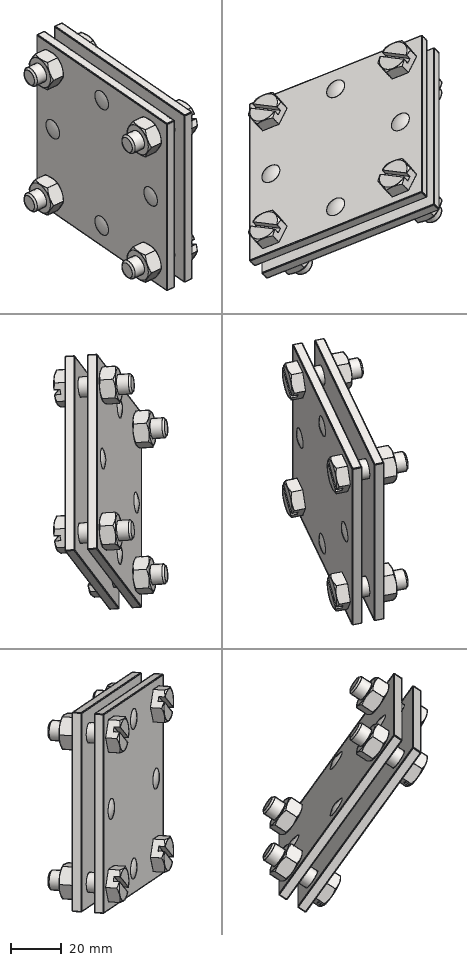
import cadquery as cq
import math


PLATE_SIDE = 80.0
PLATE_THICKNESS = 4.0
PLATE_GAP = 5.0
PLATE_CHAMFER = 0.3
HOLE_PITCH = 60.0

DOME_DIAMETER = 8.3
DOME_HEIGHT = 1.0

SHANK_DIAMETER = 8.0
SHANK_LENGTH = 25.0
TIP_CHAMFER = 0.8

ACROSS_FLATS = 13.0
HEAD_HEIGHT = 5.3
NUT_HEIGHT = 6.5
HEX_FACE_DIAMETER = 12.7
HEX_CHAMFER_ANGLE = 30.0

SLOT_WIDTH = 2.0
SLOT_DEPTH = 2.6

HEX_SIDES = 6
HALF_SIDE_ANGLE = 180.0 / HEX_SIDES
ACROSS_CORNERS = ACROSS_FLATS / math.cos(math.radians(HALF_SIDE_ANGLE))
PLATE_OFFSET = (PLATE_GAP + PLATE_THICKNESS) / 2
OUTER_FACE = PLATE_GAP / 2 + PLATE_THICKNESS
HALF_PITCH = HOLE_PITCH / 2
BOLT_PLACES = [(x, z) for x in (-HALF_PITCH, HALF_PITCH) for z in (-HALF_PITCH, HALF_PITCH)]
DOME_PLACES = [(-HALF_PITCH, 0), (HALF_PITCH, 0), (0, -HALF_PITCH), (0, HALF_PITCH)]


def cylinder_y(diameter, y_start, y_end):
    """Cylinder on the Y axis from y_start up to y_end."""
    profile = cq.Workplane("XZ", origin=(0, y_end, 0)).circle(diameter / 2)
    return profile.extrude(y_end - y_start)


def dome(y_base, direction):
    """Spherical cap standing on y_base and bulging towards +Y or -Y."""
    y_crown = y_base + direction * DOME_HEIGHT
    base_radius = DOME_DIAMETER / 2
    sphere_radius = (base_radius**2 + DOME_HEIGHT**2) / (2 * DOME_HEIGHT)
    sphere = cq.Workplane("XY").sphere(sphere_radius).translate((0, y_crown - direction * sphere_radius, 0))
    return sphere.intersect(cylinder_y(DOME_DIAMETER, min(y_base, y_crown), max(y_base, y_crown)))


def clamp_plate(direction):
    """Square plate with four bolt holes and four domes on its outer face."""
    plate = cq.Workplane("XY").box(PLATE_SIDE, PLATE_THICKNESS, PLATE_SIDE)
    plate = plate.edges().chamfer(PLATE_CHAMFER).translate((0, direction * PLATE_OFFSET, 0))
    hole = cylinder_y(SHANK_DIAMETER, -OUTER_FACE, OUTER_FACE)
    for x, z in BOLT_PLACES:
        plate = plate.cut(hole.translate((x, 0, z)))
    cap = dome(direction * OUTER_FACE, direction)
    for x, z in DOME_PLACES:
        plate = plate.union(cap.translate((x, 0, z)))
    return plate


def hex_block(y_start, y_end):
    """Plain hexagonal block on the Y axis, corners towards +X and -X."""
    profile = cq.Workplane("XZ", origin=(0, y_end, 0)).polygon(HEX_SIDES, ACROSS_CORNERS)
    return profile.extrude(y_end - y_start)


def trim_corners(block, y_face, inward):
    """Cone off the corners of a hexagon at the end face y_face; inward is the way into the block."""
    face_radius = HEX_FACE_DIAMETER / 2
    corner_radius = ACROSS_CORNERS / 2
    drop = (corner_radius - face_radius) * math.tan(math.radians(HEX_CHAMFER_ANGLE))
    triangle = cq.Workplane("XY").polyline(
        [(face_radius, y_face), (corner_radius, y_face), (corner_radius, y_face + inward * drop)]
    )
    return block.cut(triangle.close().revolve(360, (0, 0, 0), (0, 1, 0)))


def bolt():
    """Slotted hexagon-head bolt, head on the +Y side and chamfered tip towards -Y."""
    head_top = OUTER_FACE + HEAD_HEIGHT
    head = trim_corners(hex_block(OUTER_FACE, head_top), head_top, -1)
    slot = cq.Workplane("XY").box(2 * ACROSS_CORNERS, SLOT_DEPTH, SLOT_WIDTH)
    slot = slot.translate((0, head_top - SLOT_DEPTH / 2, 0))
    slot = slot.rotate((0, 0, 0), (0, 1, 0), -HALF_SIDE_ANGLE)
    shank = cylinder_y(SHANK_DIAMETER, OUTER_FACE - SHANK_LENGTH, OUTER_FACE)
    shank = shank.faces("<Y").chamfer(TIP_CHAMFER)
    return head.cut(slot).union(shank)


def nut():
    """Hexagon nut seated on the -Y plate, corners chamfered at both ends."""
    seat = -OUTER_FACE
    outer_end = seat - NUT_HEIGHT
    body = hex_block(outer_end, seat)
    body = trim_corners(body, seat, -1)
    body = trim_corners(body, outer_end, 1)
    return body.cut(cylinder_y(SHANK_DIAMETER, outer_end, seat))


def at_bolt_places(body):
    """One separate copy of a fastener at each corner hole."""
    return [body.translate((x, 0, z)).val() for x, z in BOLT_PLACES]


front_plate = clamp_plate(-1)
back_plate = clamp_plate(1)
bolts = at_bolt_places(bolt())
nuts = at_bolt_places(nut())

result = cq.Compound.makeCompound([front_plate.val(), back_plate.val(), *bolts, *nuts])